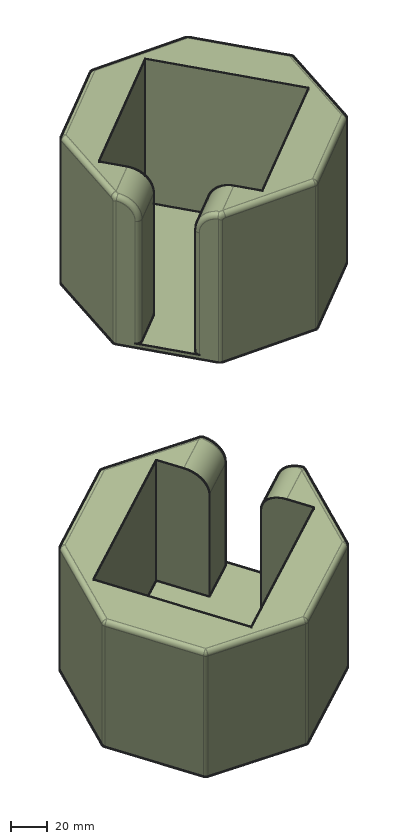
import cadquery as cq
import math

across_flats = 144.8
height = 103.0
floor_thickness = 3.0
pocket_side = 92.0
edge_radius = 3.0

side_count = 8
half_side_angle = math.pi / side_count

octagon_side = across_flats * math.tan(half_side_angle)
slot_width = octagon_side / 2
slot_flare_radius = (octagon_side - slot_width) / 2

half_slot = slot_width / 2
half_side = octagon_side / 2
flare_start_z = height - slot_flare_radius


def octagonal_block():
    corner_diameter = across_flats / math.cos(half_side_angle)
    return (
        cq.Workplane("XY")
        .polygon(side_count, corner_diameter)
        .extrude(height)
        .rotate((0, 0, 0), (0, 0, 1), math.degrees(half_side_angle))
    )


def square_pocket():
    return (
        cq.Workplane("XY", origin=(0, 0, floor_thickness))
        .rect(pocket_side, pocket_side)
        .extrude(height - floor_thickness)
    )


def flared_slot():
    """Front opening from the pocket out through the -Y face."""
    arc_offset = slot_flare_radius * (1 - math.sqrt(0.5))
    arc_x = half_slot + arc_offset
    arc_z = height - arc_offset
    return (
        cq.Workplane("XZ")
        .moveTo(-half_slot, floor_thickness)
        .lineTo(half_slot, floor_thickness)
        .lineTo(half_slot, flare_start_z)
        .threePointArc((arc_x, arc_z), (half_side, height))
        .lineTo(-half_side, height)
        .threePointArc((-arc_x, arc_z), (-half_slot, flare_start_z))
        .close()
        .extrude(across_flats / 2)
    )


def is_rounded(edge):
    """Octagon corners, its top rim and the sides of the slot mouth."""
    center = edge.Center()
    box = edge.BoundingBox()
    distance_out = max(abs(center.x), abs(center.y))
    diagonal_distance_out = (abs(center.x) + abs(center.y)) / math.sqrt(2)
    upright_outside = box.zlen > edge_radius and distance_out > pocket_side / 2 + edge_radius
    on_top = box.zmin > height - edge_radius
    on_outline = max(distance_out, diagonal_distance_out) > across_flats / 2 - edge_radius
    return upright_outside or (on_top and on_outline)


body = octagonal_block().cut(square_pocket()).cut(flared_slot())
rounded_edges = [edge for edge in body.edges().vals() if is_rounded(edge)]
result = body.newObject(rounded_edges).fillet(edge_radius)